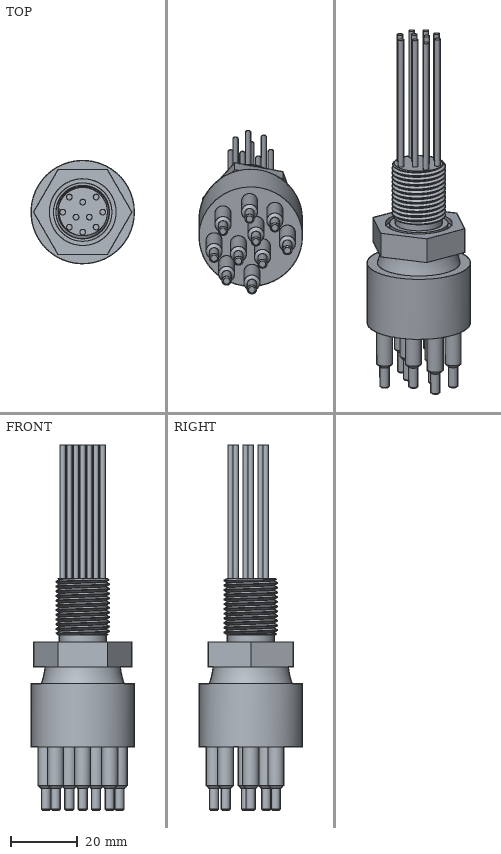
import cadquery as cq
import math

pin_length = 19.0
body_height = 19.0
neck_height = 5.0
nut_height = 7.5
stem_height = 19.0
wire_length = 40.0

body_bottom = pin_length
neck_bottom = body_bottom + body_height
nut_bottom = neck_bottom + neck_height
nut_top = nut_bottom + nut_height
stem_top = nut_top + stem_height

body_diameter = 31.0
neck_bottom_diameter = 24.8
neck_middle_diameter = 23.4
neck_top_diameter = 22.6
nut_across_flats = 25.5
nut_sides = 6
nut_across_corners = nut_across_flats / math.cos(math.pi / nut_sides)

groove_outer_diameter = 20.0
groove_inner_diameter = 17.5
groove_depth = 1.5

stem_diameter = 14.14
thread_diameter = 16.0
thread_length = 17.0
inch = 25.4
threads_per_inch = 18
thread_pitch = inch / threads_per_inch
thread_crest_width = 0.2
thread_root_width = 1.35
thread_end_chamfer = 0.6
thread_start_angle = 67.0

thread_root_overlap = 0.05
envelope_clearance = 0.1

pin_sleeve_diameter = 4.8
pin_tip_diameter = 2.8
pin_tip_length = 6.5
pin_tip_chamfer = 0.4
pin_shoulder_height = (pin_sleeve_diameter - pin_tip_diameter) / 2
pin_positions = [
    (-11.0, 0), (11.0, 0), (0, -11.0),
    (-8.1, 7.5), (8.1, 7.5), (-8.1, -7.5), (8.1, -7.5),
    (0, 4.65), (-4.0, -1.4), (4.0, -1.4),
]

wire_diameter = 1.7
wire_positions = [
    (-6.0, 0), (6.0, 0), (0, -6.0),
    (-4.0, 4.5), (4.0, 4.5), (-4.0, -4.5), (4.0, -4.5),
    (0, 3.0), (-2.0, -1.5), (2.0, -1.5),
]

joint_overlap = 1.0


def cylinder(diameter, bottom, top):
    return cq.Workplane("XY").workplane(offset=bottom).circle(diameter / 2).extrude(top - bottom)


def make_neck():
    """Neck that flares toward the body along a hollow curve."""
    return (
        cq.Workplane("XZ")
        .moveTo(0, neck_bottom)
        .lineTo(neck_bottom_diameter / 2, neck_bottom)
        .threePointArc(
            (neck_middle_diameter / 2, neck_bottom + neck_height / 2),
            (neck_top_diameter / 2, nut_bottom),
        )
        .lineTo(0, nut_bottom)
        .close()
        .revolve(360, (0, 0), (0, 1))
    )


def make_nut():
    """Hexagonal nut with two corners on the X axis and a ring groove on top."""
    nut = (
        cq.Workplane("XY")
        .workplane(offset=nut_bottom)
        .polygon(nut_sides, nut_across_corners)
        .extrude(nut_height)
    )
    groove = (
        cq.Workplane("XY")
        .workplane(offset=nut_top)
        .circle(groove_outer_diameter / 2)
        .circle(groove_inner_diameter / 2)
        .extrude(-groove_depth)
    )
    return nut.cut(groove)


def make_thread():
    """Right-hand helical ridge, trimmed to a cylinder with chamfered ends and flush with the stem top."""
    root_radius = stem_diameter / 2 - thread_root_overlap
    crest_radius = thread_diameter / 2
    half_crest = thread_crest_width / 2
    half_root = thread_root_width / 2
    thread_bottom = stem_top - thread_length

    helix = cq.Wire.makeHelix(thread_pitch, thread_length + 2 * thread_pitch, stem_diameter / 2)
    ridge = (
        cq.Workplane("XZ")
        .polyline([
            (root_radius, -half_root),
            (crest_radius, -half_crest),
            (crest_radius, half_crest),
            (root_radius, half_root),
        ])
        .close()
        .sweep(cq.Workplane(helix), isFrenet=True)
        .rotate((0, 0, 0), (0, 0, 1), thread_start_angle)
        .translate((0, 0, thread_bottom - thread_pitch))
    )
    envelope = cylinder(thread_diameter + 2 * envelope_clearance, thread_bottom, stem_top)
    return ridge.intersect(envelope.edges().chamfer(thread_end_chamfer + envelope_clearance))


def make_pin():
    """Pin on the Z axis: chamfered tip, conical shoulder and thick sleeve."""
    tip_radius = pin_tip_diameter / 2
    sleeve_radius = pin_sleeve_diameter / 2
    pin_top = body_bottom + joint_overlap
    return (
        cq.Workplane("XZ")
        .polyline([
            (0, 0),
            (tip_radius - pin_tip_chamfer, 0),
            (tip_radius, pin_tip_chamfer),
            (tip_radius, pin_tip_length),
            (sleeve_radius, pin_tip_length + pin_shoulder_height),
            (sleeve_radius, pin_top),
            (0, pin_top),
        ])
        .close()
        .revolve(360, (0, 0), (0, 1))
    )


stem = cylinder(stem_diameter, nut_top - joint_overlap, stem_top)
threaded_stem = stem.union(make_thread())

result = cylinder(body_diameter, body_bottom, neck_bottom)
result = result.union(make_neck()).union(make_nut()).union(threaded_stem)

pin = make_pin()
for x, y in pin_positions:
    result = result.union(pin.translate((x, y, 0)))

wire = cylinder(wire_diameter, stem_top - joint_overlap, stem_top + wire_length)
for x, y in wire_positions:
    result = result.union(wire.translate((x, y, 0)))